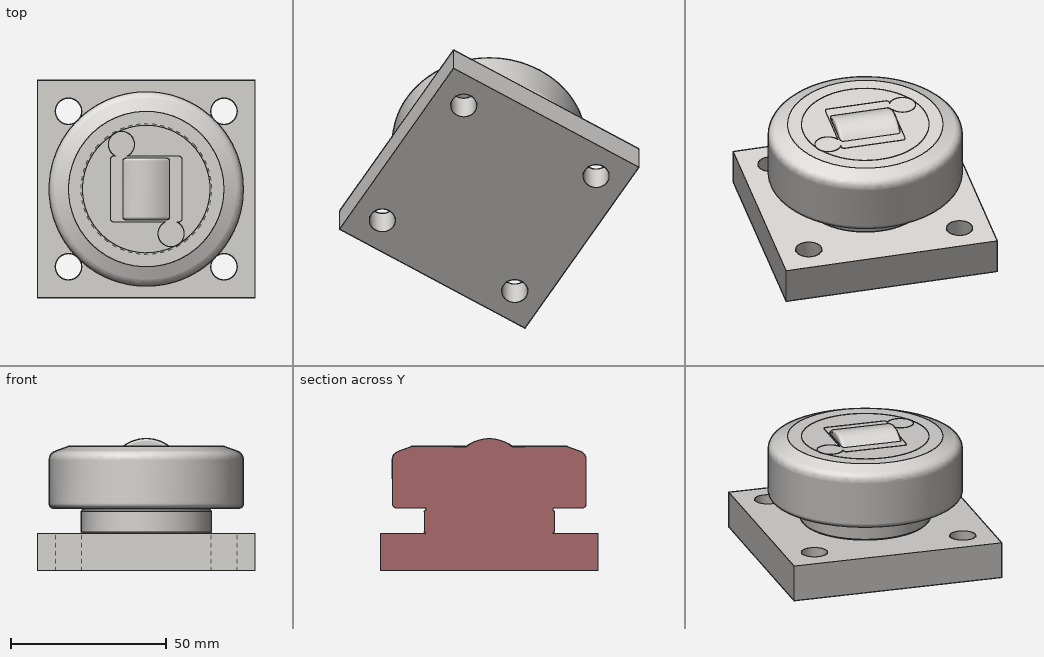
import cadquery as cq
import math

plate_side = 70.0
plate_thickness = 12.0
bolt_hole_diameter = 8.4
bolt_spacing = 50.0

roller_diameter = 62.5
roller_bottom = 20.0
roller_top = 40.0
roller_flat_diameter = 50.0
roller_cone_angle = math.radians(20)
roller_top_fillet = 3.0
roller_bottom_fillet = 1.5

neck_diameter = 42.0
neck_top = 19.5
neck_chamfer = 0.5
journal_diameter = neck_diameter - 2 * neck_chamfer

face_step = 0.1
window_length = 22.95
window_width = 21.15
window_corner_radius = 1.0
pin_diameter = 8.4
pin_x = 8.0
pin_y = 14.35

side_roller_top = 42.5
side_roller_radius = 12.05
side_roller_width = 20.0
side_roller_fillet = 1.0


def make_plate():
    plate = cq.Workplane("XY").rect(plate_side, plate_side).extrude(plate_thickness)
    return (
        plate.faces(">Z").workplane()
        .rect(bolt_spacing, bolt_spacing, forConstruction=True)
        .vertices().hole(bolt_hole_diameter)
    )


def make_neck():
    neck = (
        cq.Workplane("XY").workplane(offset=plate_thickness)
        .circle(neck_diameter / 2).extrude(neck_top - plate_thickness)
        .edges().chamfer(neck_chamfer)
    )
    journal = (
        cq.Workplane("XY").workplane(offset=plate_thickness)
        .circle(journal_diameter / 2).extrude(roller_top - face_step - plate_thickness)
    )
    return neck.union(journal)


def make_main_roller():
    outer_radius = roller_diameter / 2
    flat_radius = roller_flat_diameter / 2
    shoulder_z = roller_top - (outer_radius - flat_radius) * math.tan(roller_cone_angle)
    body = (
        cq.Workplane("XZ")
        .moveTo(0, roller_bottom)
        .lineTo(outer_radius, roller_bottom)
        .lineTo(outer_radius, shoulder_z)
        .lineTo(flat_radius, roller_top)
        .lineTo(0, roller_top)
        .close().revolve(360, (0, 0, 0), (0, 1, 0))
    )
    body = body.edges("<Z").fillet(roller_bottom_fillet)
    shoulder = cq.selectors.RadiusNthSelector(-1)
    body = body.edges(shoulder).edges(">Z").fillet(roller_top_fillet)
    face_recess = (
        cq.Workplane("XY").workplane(offset=roller_top - face_step)
        .circle(journal_diameter / 2).extrude(face_step)
    )
    return body.cut(face_recess)


def make_face_insets():
    """Shallow steps outlining the window and the two pins on the journal face."""
    floor = cq.Workplane("XY").workplane(offset=roller_top - 2 * face_step)
    window = (
        floor.rect(window_length, window_width).extrude(face_step)
        .edges("|Z").fillet(window_corner_radius)
    )
    pins = (
        floor.pushPoints([(-pin_x, pin_y), (pin_x, -pin_y)])
        .circle(pin_diameter / 2).extrude(2 * face_step)
    )
    return window.union(pins)


def make_side_roller():
    return (
        cq.Workplane("XZ")
        .center(0, side_roller_top - side_roller_radius)
        .circle(side_roller_radius).extrude(side_roller_width / 2, both=True)
        .edges("%CIRCLE").fillet(side_roller_fillet)
    )


result = (
    make_plate()
    .union(make_neck())
    .union(make_main_roller())
    .cut(make_face_insets())
    .union(make_side_roller())
)